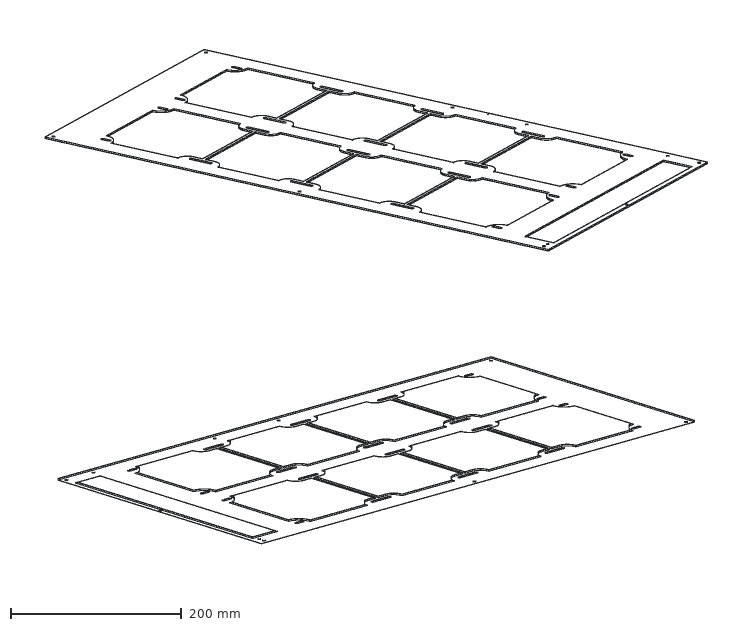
import cadquery as cq

PLATE_LENGTH = 700.0
PLATE_WIDTH = 347.0
PLATE_THICKNESS = 2.0

COLUMNS = 4
ROWS = 2
WINDOW_SIZE = 136.5
RIB_WIDTH = 3.8
BAR_WIDTH = 24.8
GRID_LEFT = 58.4
COLUMN_PITCH = WINDOW_SIZE + RIB_WIDTH
ROW_PITCH = WINDOW_SIZE + BAR_WIDTH
GRID_LENGTH = COLUMNS * COLUMN_PITCH - RIB_WIDTH
GRID_WIDTH = ROWS * ROW_PITCH - BAR_WIDTH
GRID_RIGHT = GRID_LEFT + GRID_LENGTH
GRID_BOTTOM = (PLATE_WIDTH - GRID_WIDTH) / 2

SLOT_REACH = 13.5
SLOT_WIDTH = 3.5
SLOT_INSET = 6.2
RIB_TAB_RADIUS = 13.5
RIB_TAB_ROUND_OFFSET = 12.5
CORNER_TAB_RADIUS = 18.0

OPENING_LEFT = 653.0
OPENING_RIGHT = 693.0
OPENING_BOTTOM = 22.5
OPENING_TOP = PLATE_WIDTH - OPENING_BOTTOM

MOUNT_DIAMETER = 3.5
MOUNT_INSET = 7.0
SMALL_DIAMETER = 3.0
SMALL_TOP_INSET = 7.5
SMALL_TOP_X = (453.5, 649.5)
EDGE_HOLE_INSET = 3.5
EDGE_HOLE_Y = 176.0
BOTTOM_MIDDLE_X = 349.3
LOWER_RIGHT_X = 689.5
LOWER_RIGHT_SMALL_Y = 15.0

WINDOW_LEFTS = [GRID_LEFT + column * COLUMN_PITCH for column in range(COLUMNS)]
RIB_CENTRES = [left - RIB_WIDTH / 2 for left in WINDOW_LEFTS[1:]]
WINDOW_BOTTOMS = [GRID_BOTTOM + row * ROW_PITCH for row in range(ROWS)]
WINDOW_EDGES = [(bottom, 1) for bottom in WINDOW_BOTTOMS]
WINDOW_EDGES += [(bottom + WINDOW_SIZE, -1) for bottom in WINDOW_BOTTOMS]


def box(x_min, x_max, y_min, y_max):
    """Full-thickness block between the given limits."""
    return (
        cq.Workplane("XY")
        .box(x_max - x_min, y_max - y_min, PLATE_THICKNESS, centered=False)
        .translate((x_min, y_min, 0))
    )


def disc(x, y, diameter):
    """Full-thickness disc."""
    return cq.Workplane("XY").center(x, y).circle(diameter / 2).extrude(PLATE_THICKNESS)


def rib_tab(x, edge_y, inward):
    """Flat-ended tab with two quarter-round corners, centred on a rib."""
    flat_half = RIB_WIDTH / 2 + RIB_TAB_ROUND_OFFSET
    tip_y = edge_y + inward * RIB_TAB_RADIUS
    tab = box(x - flat_half, x + flat_half, min(edge_y, tip_y), max(edge_y, tip_y))
    for side in (-1, 1):
        tab = tab.union(disc(x + side * flat_half, edge_y, 2 * RIB_TAB_RADIUS))
    return tab


def slot(x_min, x_max, edge_y, inward):
    """Round-ended slot between two X limits, set in from a window edge."""
    return (
        cq.Workplane("XY")
        .center((x_min + x_max) / 2, edge_y + inward * SLOT_INSET)
        .slot2D(x_max - x_min, SLOT_WIDTH)
        .extrude(PLATE_THICKNESS)
    )


def cut_windows(plate):
    for left in WINDOW_LEFTS:
        for bottom in WINDOW_BOTTOMS:
            plate = plate.cut(box(left, left + WINDOW_SIZE, bottom, bottom + WINDOW_SIZE))
    return plate


def add_tabs(plate):
    for edge_y, inward in WINDOW_EDGES:
        for x in RIB_CENTRES:
            plate = plate.union(rib_tab(x, edge_y, inward))
        for x in (GRID_LEFT, GRID_RIGHT):
            plate = plate.union(disc(x, edge_y, 2 * CORNER_TAB_RADIUS))
    return plate


def cut_slots(plate):
    half_length = RIB_WIDTH / 2 + SLOT_REACH
    for edge_y, inward in WINDOW_EDGES:
        for x in RIB_CENTRES:
            plate = plate.cut(slot(x - half_length, x + half_length, edge_y, inward))
        plate = plate.cut(slot(GRID_LEFT, GRID_LEFT + SLOT_REACH, edge_y, inward))
        plate = plate.cut(slot(GRID_RIGHT - SLOT_REACH, GRID_RIGHT, edge_y, inward))
    return plate


def cut_holes(plate):
    top_y = PLATE_WIDTH - MOUNT_INSET
    mount_points = [
        (MOUNT_INSET, MOUNT_INSET),
        (MOUNT_INSET, top_y),
        (BOTTOM_MIDDLE_X, MOUNT_INSET),
        (PLATE_LENGTH / 2, top_y),
        (LOWER_RIGHT_X, MOUNT_INSET),
        (PLATE_LENGTH - MOUNT_INSET, top_y),
    ]
    small_points = [(x, PLATE_WIDTH - SMALL_TOP_INSET) for x in SMALL_TOP_X]
    small_points.append((PLATE_LENGTH - EDGE_HOLE_INSET, EDGE_HOLE_Y))
    small_points.append((LOWER_RIGHT_X, LOWER_RIGHT_SMALL_Y))
    for x, y in mount_points:
        plate = plate.cut(disc(x, y, MOUNT_DIAMETER))
    for x, y in small_points:
        plate = plate.cut(disc(x, y, SMALL_DIAMETER))
    return plate


plate = box(0, PLATE_LENGTH, 0, PLATE_WIDTH)
plate = cut_windows(plate)
plate = add_tabs(plate)
plate = cut_slots(plate)
plate = plate.cut(box(OPENING_LEFT, OPENING_RIGHT, OPENING_BOTTOM, OPENING_TOP))
result = cut_holes(plate)